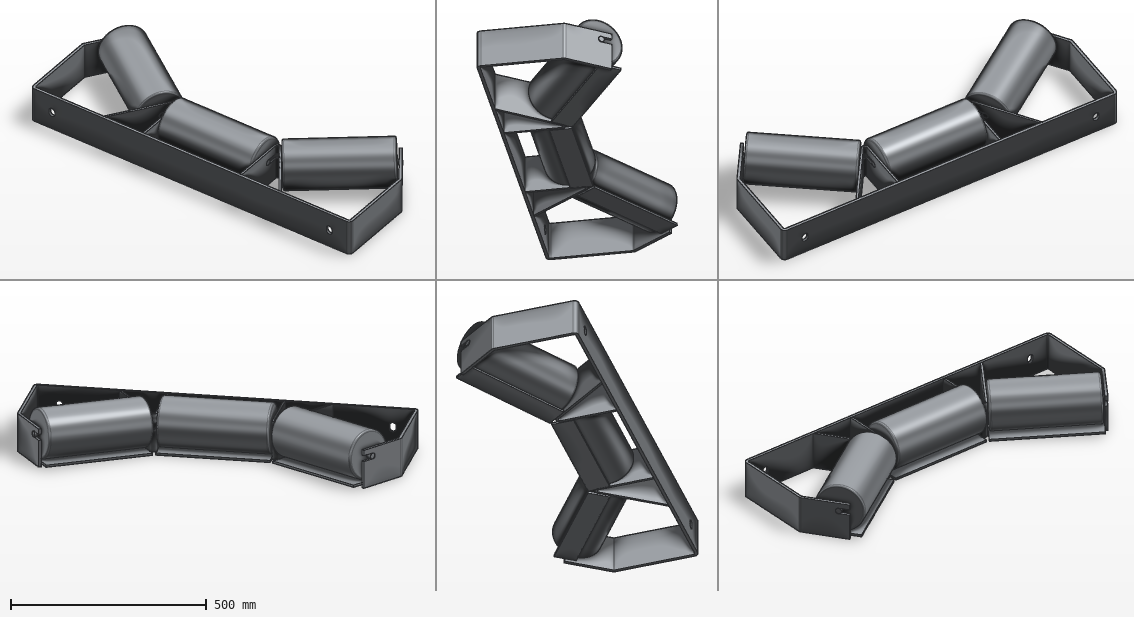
import cadquery as cq
import math

frame_length = 1000.0
frame_height = 103.0
frame_thickness = 8.0
wall_depth = 229.0
flap_reach = 338.0
frame_bend_radius = 12.0

mount_spacing = 868.0
mount_slot_width = 18.0
mount_slot_height = 25.0

roller_diameter = 133.0
roller_length = 292.0
roller_edge_radius = 5.0
axle_diameter = 16.0
center_axis_y = 125.0
center_axis_z = 70.0
wing_angle = 35.0
wing_tilt = 2.0
wing_center_x = 310.0
wing_center_y = 222.0
wing_center_z = 75.0

strip_width = 59.0
strip_thickness = 6.0

bracket_thickness = 6.0
bracket_bend_radius = 11.0
leg_distance = 149.0

axle_reach = leg_distance + bracket_thickness
wing_axle_outer_reach = 161.0

wing_sine = math.sin(math.radians(wing_angle))
wing_cosine = math.cos(math.radians(wing_angle))
wing_tangent = wing_sine / wing_cosine
roller_radius = roller_diameter / 2


def mirrored(body):
    return body.mirror("YZ")


def wing_plane():
    """Plane at the middle of the left roller: local X along the axis, local Y level and backward."""
    tilt = math.radians(wing_tilt)
    axis = cq.Vector(wing_cosine * math.cos(tilt), -wing_sine * math.cos(tilt), -math.sin(tilt))
    backward = cq.Vector(wing_sine, wing_cosine, 0)
    return cq.Plane((-wing_center_x, wing_center_y, wing_center_z), axis, axis.cross(backward))


def placed(body, plane):
    return cq.Workplane(body.val().moved(plane.location))


def cylinder_along_x(diameter, start, end):
    return cq.Workplane("YZ", origin=(start, 0, 0)).circle(diameter / 2).extrude(end - start)


def make_roller(outer_reach):
    """Roller about local X, its axle reaching outer_reach on the negative side."""
    drum = cylinder_along_x(roller_diameter, -roller_length / 2, roller_length / 2)
    drum = drum.faces("<X or >X").edges().fillet(roller_edge_radius)
    return drum.union(cylinder_along_x(axle_diameter, -outer_reach, axle_reach))


def make_strip():
    strip = cq.Workplane("XY").box(2 * leg_distance, strip_width, strip_thickness, centered=(True, False, False))
    return strip.translate((0, 0, -roller_radius - strip_thickness))


def make_axle_slot():
    """Cutter around both axle ends of a roller, open toward the back."""
    reach = wing_axle_outer_reach
    groove = cq.Workplane("XY").box(2 * reach, roller_diameter, axle_diameter, centered=(True, False, True))
    return groove.union(cylinder_along_x(axle_diameter, -reach, reach))


def make_frame():
    half = frame_length / 2
    inner_half = half - frame_thickness
    bend_shift = frame_thickness * math.tan(math.radians(wing_angle / 2))
    flap_x = half - (flap_reach - wall_depth) * wing_tangent
    flap_inner_x = flap_x - frame_thickness * wing_cosine
    flap_inner_y = flap_reach - frame_thickness * wing_sine
    outer_bends = [(half, 0), (half, wall_depth)]
    inner_bends = [(inner_half, wall_depth - bend_shift), (inner_half, frame_thickness)]
    outline = [(0, 0), *outer_bends, (flap_x, flap_reach), (flap_inner_x, flap_inner_y), *inner_bends]
    side = cq.Workplane("XY").polyline([*outline, (0, frame_thickness)]).close().extrude(frame_height)
    for bends, radius in ((outer_bends, frame_bend_radius), (inner_bends, frame_bend_radius - frame_thickness)):
        for x, y in bends:
            nearest = cq.selectors.NearestToPointSelector((x, y, frame_height / 2))
            side = side.edges(nearest).fillet(radius)
    mounts = (
        cq.Workplane("XZ", origin=(0, 0, frame_height / 2))
        .pushPoints([(-mount_spacing / 2, 0), (mount_spacing / 2, 0)])
        .slot2D(mount_slot_height, mount_slot_width, 90)
        .extrude(-frame_thickness)
    )
    return side.union(mirrored(side)).cut(mounts)


def make_wedge(apex_x, apex_y, bend_radius):
    """Prism between two leg faces that meet at the apex, which is rounded."""
    foot_x = apex_x - (apex_y - frame_thickness) * wing_tangent
    corners = [(apex_x, frame_thickness), (apex_x, apex_y), (foot_x, frame_thickness)]
    wedge = cq.Workplane("XY").polyline(corners).close().extrude(frame_height)
    return wedge.edges("|Z and >Y").fillet(bend_radius)


def make_bracket():
    apex_x = -leg_distance
    apex_y = wing_center_y + ((apex_x + wing_center_x) * wing_cosine - leg_distance) / wing_sine
    inner_drop = bracket_thickness / math.tan(math.radians(wing_angle / 2))
    outer = make_wedge(apex_x, apex_y, bracket_bend_radius)
    inner_radius = bracket_bend_radius - bracket_thickness
    inner = make_wedge(apex_x - bracket_thickness, apex_y - inner_drop, inner_radius)
    return outer.cut(inner)


center_plane = cq.Plane((0, center_axis_y, center_axis_z))
left_plane = wing_plane()

center_slot = placed(make_axle_slot(), center_plane)
left_slot = placed(make_axle_slot(), left_plane)
frame = make_frame().cut(left_slot).cut(mirrored(left_slot))
left_bracket = make_bracket().cut(center_slot).cut(left_slot)
brackets = [left_bracket, mirrored(left_bracket)]

left_roller = placed(make_roller(wing_axle_outer_reach), left_plane)
rollers = [placed(make_roller(axle_reach), center_plane), left_roller, mirrored(left_roller)]
left_strip = placed(make_strip(), left_plane)
strips = [placed(make_strip(), center_plane), left_strip, mirrored(left_strip)]

result = cq.Compound.makeCompound([body.val() for body in [frame, *brackets, *rollers, *strips]])